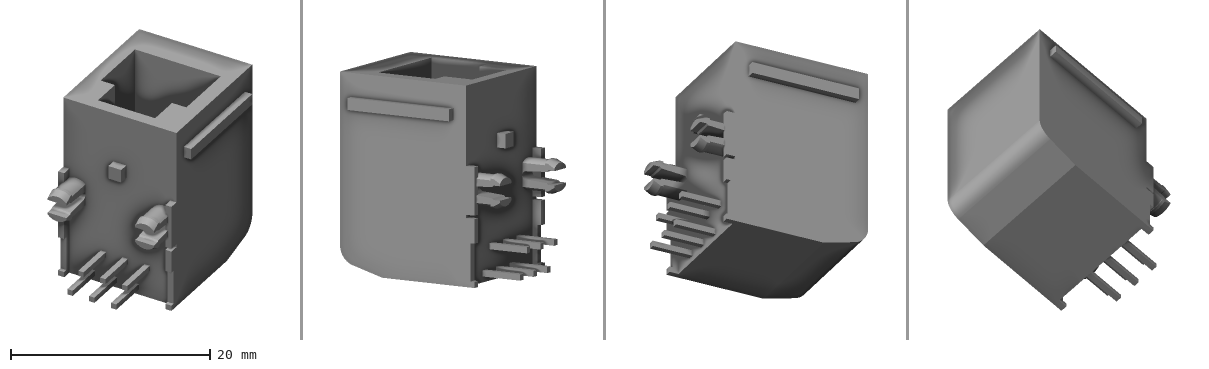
import cadquery as cq
import math


height = 20.57
body_width = 13.2
body_depth = 15.0
overall_width = 14.91
overall_depth = 19.45
back_corner_radius = 2.0
slope_start_y = 9.98
slope_angle = 15.0

mouth_half_width = 5.0
latch_half_width = 3.33
slot_half_width = 2.04
cavity_back_y = 11.48
mouth_step_y = 4.67
inner_step_y = 5.82
latch_front_y = 1.32
latch_ramp_y = 2.96
side_ledge_z = 12.35
latch_ramp_z = 10.28
latch_ramp_angle = 12.0
cavity_floor_z = 3.09
floor_bevel_length = 0.35
floor_bevel_angle = 15.0

rail_bottom = 16.9
rail_top = 18.15
rail_end_margin = 1.46

standoff = 1.0
strip_width = 0.7
groove_bottom = 7.03
groove_top = 7.38
strip_top = 12.35
relief_bottom = 0.62
relief_top = 4.53
relief_standoff = 0.55
pad_width = 1.5
pad_bottom = 13.37
pad_top = 14.85

peg_x = 5.1
peg_z = 9.85
peg_width = 2.18
peg_length = 3.78
shaft_radius = 1.65
barb_radius = 1.79
tip_radius = 1.46
barb_start = 2.67
barb_end = 2.98
slot_root_radius = 0.41
slot_ramp_end = 2.88
slot_ramp_half_gap = 0.58
slot_mouth_start = 3.05
slot_mouth_half_gap = 0.75

pin_size = 0.62
pin_pitch = 1.28
pin_count = 6
pin_reach = overall_depth - body_depth
pin_row_bottoms = (0.62, 3.2)
pin_embed = 0.41


def block(x_span, y_span, z_span):
    """Box given by its limits along each axis."""
    spans = (x_span, y_span, z_span)
    size = [high - low for low, high in spans]
    return cq.Workplane("XY").box(*size, centered=False).translate([low for low, high in spans])


def side_profile(width):
    """Y-Z workplane placed so that extruding by width is centred on X = 0."""
    return cq.Workplane("YZ").workplane(offset=-width / 2)


def housing():
    """Solid body with a sloped, rounded lower back corner."""
    slope_rise = (body_depth - slope_start_y) * math.tan(math.radians(slope_angle))
    return (
        side_profile(body_width)
        .polyline([
            (0, 0),
            (slope_start_y, 0),
            (body_depth, slope_rise),
            (body_depth, height),
            (0, height),
        ])
        .close()
        .extrude(body_width)
        .edges(cq.selectors.NearestToPointSelector((0, body_depth, slope_rise)))
        .fillet(back_corner_radius)
    )


def plug_cavity():
    """Stepped opening for the plug and its latch, with two latch ramps and a bevelled floor."""
    mouth_width = 2 * mouth_half_width
    plug = (
        side_profile(mouth_width)
        .polyline([
            (mouth_step_y, height),
            (mouth_step_y, side_ledge_z),
            (inner_step_y, side_ledge_z),
            (inner_step_y, cavity_floor_z),
            (cavity_back_y, cavity_floor_z),
            (cavity_back_y, height),
        ])
        .close()
        .extrude(mouth_width)
    )
    ramp_rise = (latch_ramp_y - latch_front_y) * math.tan(math.radians(latch_ramp_angle))
    latch = (
        side_profile(2 * latch_half_width)
        .polyline([
            (latch_front_y, height),
            (latch_front_y, latch_ramp_z),
            (latch_ramp_y, latch_ramp_z - ramp_rise),
            (latch_ramp_y, cavity_floor_z),
            (inner_step_y, cavity_floor_z),
            (inner_step_y, height),
        ])
        .close()
        .extrude(2 * latch_half_width)
    )
    bevel_drop = floor_bevel_length * math.tan(math.radians(floor_bevel_angle))
    slot = (
        side_profile(2 * slot_half_width)
        .polyline([
            (latch_front_y, height),
            (latch_front_y, cavity_floor_z - bevel_drop),
            (latch_front_y + floor_bevel_length, cavity_floor_z),
            (inner_step_y, cavity_floor_z),
            (inner_step_y, height),
        ])
        .close()
        .extrude(2 * slot_half_width)
    )
    return plug.union(latch).union(slot)


def side_rails():
    """One bar through the housing whose ends stand out as a rail on each side; cut by the cavity."""
    half = overall_width / 2
    return block((-half, half), (rail_end_margin, body_depth - rail_end_margin), (rail_bottom, rail_top))


def edge_strip(side):
    """Stepped strip along one side edge of the board-side face."""
    strip = (
        cq.Workplane("YZ")
        .polyline([
            (0, 0),
            (-standoff, 0),
            (-standoff, relief_bottom),
            (-relief_standoff, relief_bottom),
            (-relief_standoff, relief_top),
            (-standoff, relief_top),
            (-standoff, groove_bottom),
            (0, groove_bottom),
        ])
        .close()
        .extrude(strip_width)
        .union(block((0, strip_width), (-standoff, 0), (groove_top, strip_top)))
    )
    inner_x = body_width / 2 - strip_width
    strip = strip.translate((inner_x, 0, 0))
    return strip if side > 0 else strip.mirror("YZ")


def peg_slot():
    """Flared slot with a round root that splits a peg into two prongs."""
    return (
        side_profile(peg_width)
        .moveTo(-slot_root_radius, slot_root_radius)
        .threePointArc((0, 0), (-slot_root_radius, -slot_root_radius))
        .lineTo(-slot_ramp_end, -slot_ramp_half_gap)
        .lineTo(-slot_mouth_start, -slot_mouth_half_gap)
        .lineTo(-peg_length, -slot_mouth_half_gap)
        .lineTo(-peg_length, slot_mouth_half_gap)
        .lineTo(-slot_mouth_start, slot_mouth_half_gap)
        .lineTo(-slot_ramp_end, slot_ramp_half_gap)
        .close()
        .extrude(peg_width)
    )


def snap_peg():
    """Barbed round peg along -Y, flattened at both sides and split by the slot."""
    turned = (
        cq.Workplane("XY")
        .polyline([
            (0, 0),
            (shaft_radius, 0),
            (shaft_radius, -barb_start),
            (barb_radius, -barb_start),
            (barb_radius, -barb_end),
            (tip_radius, -peg_length),
            (0, -peg_length),
        ])
        .close()
        .revolve(360, (0, 0), (0, 1))
    )
    flats = block((-peg_width / 2, peg_width / 2), (-peg_length, 0), (-barb_radius, barb_radius))
    return turned.intersect(flats).cut(peg_slot())


def contact_pin(index):
    """Square pin; even and odd pins sit in different rows."""
    x = (index - (pin_count - 1) / 2) * pin_pitch
    bottom = pin_row_bottoms[index % 2]
    return block((x - pin_size / 2, x + pin_size / 2), (-pin_reach, pin_embed), (bottom, bottom + pin_size))


def central_pad():
    """Square pad that rests on the board."""
    half = pad_width / 2
    return block((-half, half), (-standoff, 0), (pad_bottom, pad_top))


result = housing().union(side_rails()).cut(plug_cavity()).union(central_pad())
for side in (-1, 1):
    result = result.union(snap_peg().translate((side * peg_x, 0, peg_z)))
    result = result.union(edge_strip(side))
for index in range(pin_count):
    result = result.union(contact_pin(index))